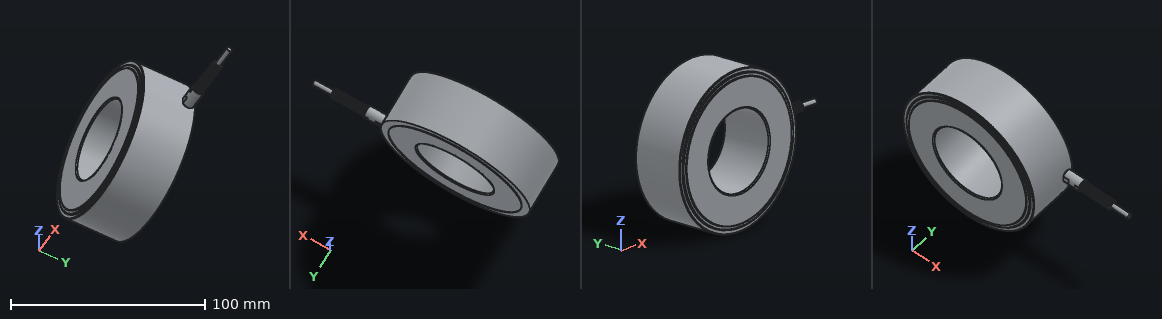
import cadquery as cq

ring_width = 31.75
outer_radius = 88.39 / 2
bore_radius = 45.47 / 2
bore_chamfer = 0.7
face_radius = 39.5
face_step = 0.4
groove_inner_radius = 82.8 / 2
groove_outer_radius = 83.82 / 2
groove_depth = 0.4
rim_chamfer = 0.4

front_y = -ring_width / 2
back_y = ring_width / 2
shoulder_y = front_y + face_step
rim_y = front_y + 2 * face_step
back_rim_y = back_y - face_step

cable_axis_y = 11.25
fitting_radius = 7.06 / 2
flat_half_width = 3.0
flat_end_x = 48.0
crimp_start_x = 52.25
crimp_half_width = 3.25
crimp_end_radius = 3.37
fitting_end_x = 54.8

coil_outer_radius = 5.33 / 2
coil_wire_diameter = 0.4318
coil_crease_radius = coil_outer_radius - coil_wire_diameter / 2
coil_turns = 47
coil_start_x = fitting_end_x - coil_wire_diameter / 2
coil_end_x = coil_start_x + coil_turns * coil_wire_diameter
cable_radius = 3.05 / 2
overall_length = 130.51
cable_end_x = overall_length - outer_radius


def make_housing():
    """Stepped ring with a chamfered bore and a narrow groove in its front face."""
    profile = [
        (bore_radius, front_y + bore_chamfer),
        (bore_radius + bore_chamfer, front_y),
        (face_radius, front_y),
        (face_radius + face_step, shoulder_y),
        (groove_inner_radius, shoulder_y),
        (groove_inner_radius, rim_y + groove_depth),
        (groove_outer_radius, rim_y + groove_depth),
        (groove_outer_radius, rim_y),
        (outer_radius - rim_chamfer, rim_y),
        (outer_radius, rim_y + rim_chamfer),
        (outer_radius, back_rim_y),
        (face_radius, back_rim_y),
        (face_radius, back_y),
        (bore_radius + bore_chamfer, back_y),
        (bore_radius, back_y - bore_chamfer),
    ]
    return cq.Workplane("XY").polyline(profile).close().revolve(360, (0, 0, 0), (0, 1, 0))


def round_bar(start_x, end_x, radius):
    """Cylinder on the cable axis."""
    bar = cq.Workplane("YZ", origin=(start_x, cable_axis_y, 0))
    return bar.circle(radius).extrude(end_x - start_x)


def slab(start_x, end_x, half_width):
    """Block that keeps only the material between two flats facing -Y and +Y."""
    block = cq.Workplane("YZ", origin=(start_x, cable_axis_y, 0))
    return block.rect(2 * half_width, 4 * fitting_radius).extrude(end_x - start_x)


def make_fitting():
    """Round fitting with wrench flats at the ring and a tapered crimp at the cable end."""
    base_x = outer_radius - fitting_radius
    base = round_bar(base_x, flat_end_x, fitting_radius)
    base = base.intersect(slab(base_x, flat_end_x, flat_half_width))
    base = base.cut(cq.Workplane("XZ").circle(outer_radius).extrude(ring_width, both=True))
    collar = round_bar(flat_end_x, crimp_start_x, fitting_radius)
    crimp = (
        cq.Workplane("YZ", origin=(crimp_start_x, cable_axis_y, 0))
        .circle(fitting_radius)
        .workplane(offset=fitting_end_x - crimp_start_x)
        .circle(crimp_end_radius)
        .loft()
        .intersect(slab(crimp_start_x, fitting_end_x, crimp_half_width))
    )
    return base.union(collar).union(crimp)


def make_strain_relief():
    """Close-wound coil, built as a row of half-round turns that meet in creases."""
    section = cq.Workplane("XZ", origin=(coil_start_x, cable_axis_y, 0)).lineTo(0, coil_crease_radius)
    for turn in range(coil_turns):
        turn_start = turn * coil_wire_diameter
        crest = (turn_start + coil_wire_diameter / 2, coil_outer_radius)
        section = section.threePointArc(crest, (turn_start + coil_wire_diameter, coil_crease_radius))
    section = section.lineTo(coil_turns * coil_wire_diameter, 0).close()
    return section.revolve(360, (0, 0, 0), (1, 0, 0))


def make_cable_assembly():
    """Fitting, coil and bare cable end as one solid."""
    cable = round_bar(coil_end_x, cable_end_x, cable_radius)
    return make_fitting().union(make_strain_relief()).union(cable)


housing = make_housing()
cable_assembly = make_cable_assembly()

result = cq.Compound.makeCompound([housing.val(), cable_assembly.val()])